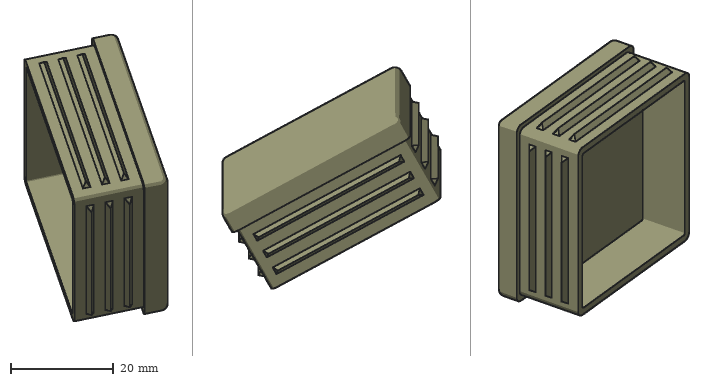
import cadquery as cq

overall_side = 40.35
overall_depth = 19.0

cap_side = 40.0
cap_thickness = 5.0
edge_radius = 1.5

sleeve_side = 38.0
sleeve_length = overall_depth - cap_thickness
wall = 1.5
cavity_side = sleeve_side - 2 * wall
cavity_depth = 10.05
cavity_corner_radius = 0.5

rib_count = 3
rib_width = 1.55
rib_height = (overall_side - sleeve_side) / 2
rib_end_gap = 2.5
rib_length = sleeve_side - 2 * rib_end_gap
first_rib_y = 3.15
rib_pitch = 3.87
rib_root = 0.2


def square_block(side, start_y, length):
    """Square block centred on the Y axis, from start_y towards +Y."""
    return cq.Workplane("XY").box(side, length, side).translate((0, start_y + length / 2, 0))


def make_cap():
    cap = square_block(cap_side, sleeve_length, cap_thickness)
    return cap.edges("|Y or >Y").fillet(edge_radius)


def make_sleeve():
    return square_block(sleeve_side, 0, sleeve_length).edges("|Y").fillet(edge_radius)


def make_rib(center_y):
    """Rib on the +Z side: triangular section along X, with both ends sloped to the ridge."""
    base_z = sleeve_side / 2
    half_width = rib_width / 2
    half_length = rib_length / 2
    ridge_half_length = half_length - half_width
    section = [
        (center_y - half_width, base_z),
        (center_y, base_z + rib_height),
        (center_y + half_width, base_z),
        (center_y + half_width, base_z - rib_root),
        (center_y - half_width, base_z - rib_root),
    ]
    end_profile = [
        (-half_length, base_z - rib_root),
        (-half_length, base_z),
        (-ridge_half_length, base_z + rib_height),
        (ridge_half_length, base_z + rib_height),
        (half_length, base_z),
        (half_length, base_z - rib_root),
    ]
    ridge = cq.Workplane("YZ").polyline(section).close().extrude(half_length, both=True)
    hips = cq.Workplane("XZ").polyline(end_profile).close().extrude(overall_depth, both=True)
    return ridge.intersect(hips)


body = make_cap().union(make_sleeve())
for index in range(rib_count):
    rib = make_rib(first_rib_y + index * rib_pitch)
    for angle in (0, 90, 180, 270):
        body = body.union(rib.rotate((0, 0, 0), (0, 1, 0), angle))

cavity = square_block(cavity_side, 0, cavity_depth).edges("|Y").fillet(cavity_corner_radius)
result = body.cut(cavity)